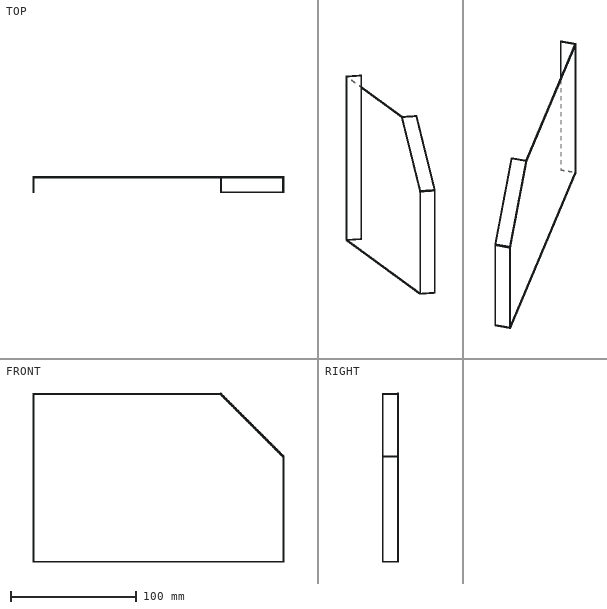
import cadquery as cq
import math

length = 200.0
height = 134.0
depth = 12.5
thickness = 0.55
corner_cut = 50.0

panel_left = thickness
panel_right = length - thickness
slanted_inset = thickness * math.sqrt(2)
cut_top_x = length - corner_cut - slanted_inset
cut_bottom_z = height - corner_cut + thickness - slanted_inset

bottom_left = (panel_left, 0.0)
bottom_right = (panel_right, 0.0)
cut_bottom = (panel_right, cut_bottom_z)
cut_top = (cut_top_x, height)
top_left = (panel_left, height)

slanted_top_trim = thickness
slanted_bottom_trim = thickness * math.tan(math.radians(22.5))


def make_panel():
    """Flat panel with its back face at Y = depth."""
    corners = [bottom_left, bottom_right, cut_bottom, cut_top, top_left]
    back_plane = cq.Workplane("XZ", origin=(0, depth, 0))
    return back_plane.polyline(corners).close().extrude(thickness)


def make_fold(start, end, start_trim=0.0, end_trim=0.0):
    """Square-ended fold strip outside a panel edge, with a flange running forward to Y = 0.

    The edge runs counter-clockwise in X and Z, so the outside is on its right.
    The trims shorten the flange at either end of the fold strip.
    """
    edge_x = end[0] - start[0]
    edge_z = end[1] - start[1]
    edge_length = math.hypot(edge_x, edge_z)
    along = (edge_x / edge_length, edge_z / edge_length)
    outward = (along[1], -along[0])

    def block(start_distance, end_distance, block_depth, back_y):
        """Block one sheet thick, between two distances along the edge."""
        corners = [
            (
                start[0] + distance * along[0] + offset * outward[0],
                start[1] + distance * along[1] + offset * outward[1],
            )
            for distance, offset in [
                (start_distance, 0),
                (start_distance, thickness),
                (end_distance, thickness),
                (end_distance, 0),
            ]
        ]
        back_plane = cq.Workplane("XZ", origin=(0, back_y, 0))
        return back_plane.polyline(corners).close().extrude(block_depth)

    flange_depth = depth - thickness
    strip = block(0, edge_length, thickness, depth)
    flange = block(start_trim, edge_length - end_trim, flange_depth, flange_depth)
    return strip.union(flange)


right_fold = make_fold(bottom_right, cut_bottom)
slanted_fold = make_fold(cut_bottom, cut_top, slanted_bottom_trim, slanted_top_trim)
left_fold = make_fold(top_left, bottom_left)

result = make_panel().union(right_fold).union(slanted_fold).union(left_fold).clean()